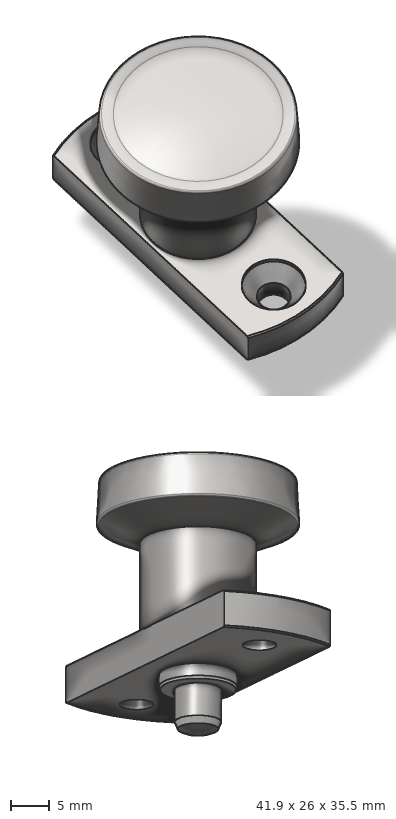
import cadquery as cq
import math

plate_length = 41.85
plate_width = 16.0
plate_thickness = 5.0
plate_edge_chamfer = 0.2

hole_offset = 15.0
hole_diameter = 4.3
countersink_diameter = 8.2
countersink_angle = 90.0
countersink_recess = 0.5

body_diameter = 15.0
body_chamfer = 0.2
body_top = 17.6

knob_diameter = 26.05
knob_top_diameter = 25.37
knob_widest_height = 20.1
knob_rim_height = 26.05
knob_top_fillet = 0.3
knob_lower_fillet = 0.38
dome_diameter = 21.77
dome_height = 1.45

spigot_diameter = 10.0
spigot_end_diameter = 9.7
spigot_length = 2.0
spigot_taper_height = 0.38
pin_diameter = 6.0
pin_shoulder_diameter = 5.2
pin_reach = 7.95
pin_taper_height = 0.92
pin_nose_height = 0.65


def cap_midpoint(base_radius, height):
    """Radius and rise of the halfway point on a spherical cap's profile."""
    sphere_radius = (base_radius**2 + height**2) / (2 * height)
    half_angle = math.asin(base_radius / sphere_radius) / 2
    rise = height - sphere_radius * (1 - math.cos(half_angle))
    return sphere_radius * math.sin(half_angle), rise


def make_plate():
    """Flat-sided plate whose ends are arcs about the plunger axis."""
    disc = cq.Workplane("XY").circle(plate_length / 2).extrude(plate_thickness)
    disc = disc.edges("%CIRCLE").chamfer(plate_edge_chamfer)
    strip = cq.Workplane("XY").rect(plate_length, plate_width).extrude(plate_thickness)
    return disc.intersect(strip)


def make_screw_hole_cutters():
    """Through holes, each with a conical seat sunk below a short recess."""
    seat_top = plate_thickness - countersink_recess
    half_angle = math.radians(countersink_angle / 2)
    seat_depth = (countersink_diameter - hole_diameter) / 2 / math.tan(half_angle)
    cutter = (
        cq.Workplane("XZ")
        .lineTo(hole_diameter / 2, 0)
        .lineTo(hole_diameter / 2, seat_top - seat_depth)
        .lineTo(countersink_diameter / 2, seat_top)
        .lineTo(countersink_diameter / 2, plate_thickness)
        .lineTo(0, plate_thickness)
        .close()
        .revolve(360, (0, 0), (0, 1))
    )
    left = cutter.translate((-hole_offset, 0, 0))
    right = cutter.translate((hole_offset, 0, 0))
    return left.union(right)


def make_body():
    height = body_top - plate_thickness
    body = cq.Workplane("XY", origin=(0, 0, plate_thickness)).circle(body_diameter / 2).extrude(height)
    return body.faces("<Z").chamfer(body_chamfer)


def make_knob():
    """Slightly tapered grip with a conical underside and a domed cap."""
    grip = (
        cq.Workplane("XZ", origin=(0, 0, body_top))
        .lineTo(body_diameter / 2, 0)
        .lineTo(knob_diameter / 2, knob_widest_height - body_top)
        .lineTo(knob_top_diameter / 2, knob_rim_height - body_top)
        .lineTo(0, knob_rim_height - body_top)
        .close()
        .revolve(360, (0, 0), (0, 1))
    )
    grip = grip.faces(">Z").edges().fillet(knob_top_fillet)
    widest_edge = cq.selectors.RadiusNthSelector(-1)
    grip = grip.edges("%CIRCLE").edges(widest_edge).fillet(knob_lower_fillet)
    dome = (
        cq.Workplane("XZ", origin=(0, 0, knob_rim_height))
        .lineTo(dome_diameter / 2, 0)
        .threePointArc(cap_midpoint(dome_diameter / 2, dome_height), (0, dome_height))
        .close()
        .revolve(360, (0, 0), (0, 1))
    )
    return grip.union(dome)


def make_plunger():
    """Spigot with a tapered end, then a pin with a tapered, rounded nose."""
    nose_base = pin_nose_height - pin_reach
    nose_radius, nose_rise = cap_midpoint(pin_shoulder_diameter / 2, pin_nose_height)
    return (
        cq.Workplane("XZ")
        .lineTo(spigot_diameter / 2, 0)
        .lineTo(spigot_diameter / 2, spigot_taper_height - spigot_length)
        .lineTo(spigot_end_diameter / 2, -spigot_length)
        .lineTo(pin_diameter / 2, -spigot_length)
        .lineTo(pin_diameter / 2, nose_base + pin_taper_height)
        .lineTo(pin_shoulder_diameter / 2, nose_base)
        .threePointArc((nose_radius, nose_base - nose_rise), (0, -pin_reach))
        .close()
        .revolve(360, (0, 0), (0, 1))
    )


plate = make_plate().cut(make_screw_hole_cutters())
result = plate.union(make_body()).union(make_knob()).union(make_plunger())